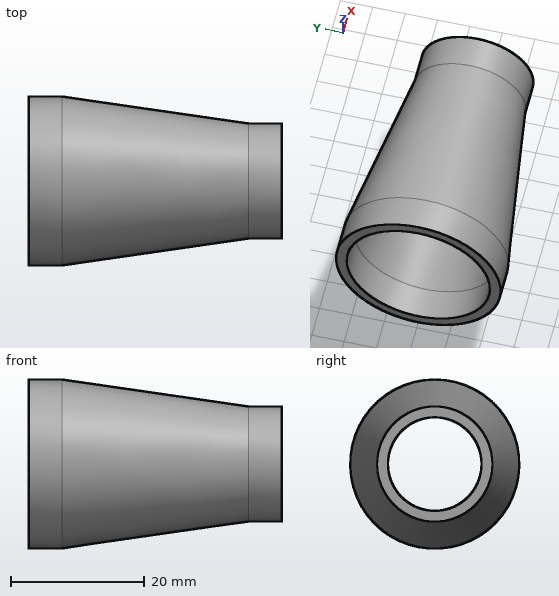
import cadquery as cq

large_outer_diameter = 25.4
large_bore_diameter = 22.1
small_outer_diameter = 17.3
small_bore_diameter = 14.0
total_length = 38.0
collar_length = 5.0

taper_start = collar_length
taper_end = total_length - collar_length


def reducer_solid(large_diameter, small_diameter):
    """Straight collar, taper and straight collar, revolved about X."""
    large_radius = large_diameter / 2
    small_radius = small_diameter / 2
    return (
        cq.Workplane("XZ")
        .lineTo(0, large_radius)
        .lineTo(taper_start, large_radius)
        .lineTo(taper_end, small_radius)
        .lineTo(total_length, small_radius)
        .lineTo(total_length, 0)
        .close()
        .revolve(360, (0, 0, 0), (1, 0, 0))
    )


outer_body = reducer_solid(large_outer_diameter, small_outer_diameter)
bore = reducer_solid(large_bore_diameter, small_bore_diameter)

result = outer_body.cut(bore)